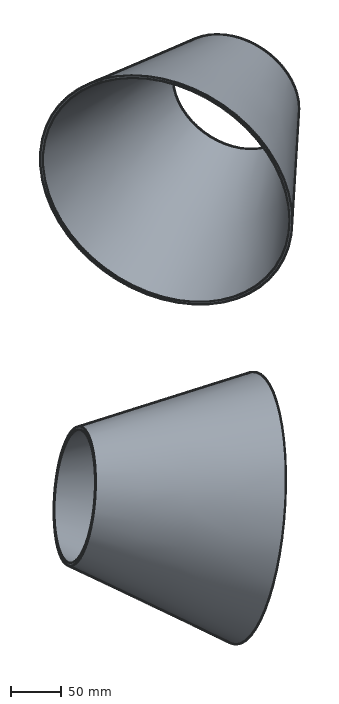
import cadquery as cq
import math

large_diameter = 273.0
small_diameter = 139.8
length = 178.0
wall = 3.0

large_radius = large_diameter / 2
small_radius = small_diameter / 2

half_angle = math.atan((large_radius - small_radius) / length)
radial_wall = wall / math.cos(half_angle)

wall_section = (
    cq.Workplane("XY")
    .moveTo(large_radius - radial_wall, 0)
    .lineTo(large_radius, 0)
    .lineTo(small_radius, length)
    .lineTo(small_radius - radial_wall, length)
    .close()
)

result = wall_section.revolve(360, (0, 0, 0), (0, 1, 0))